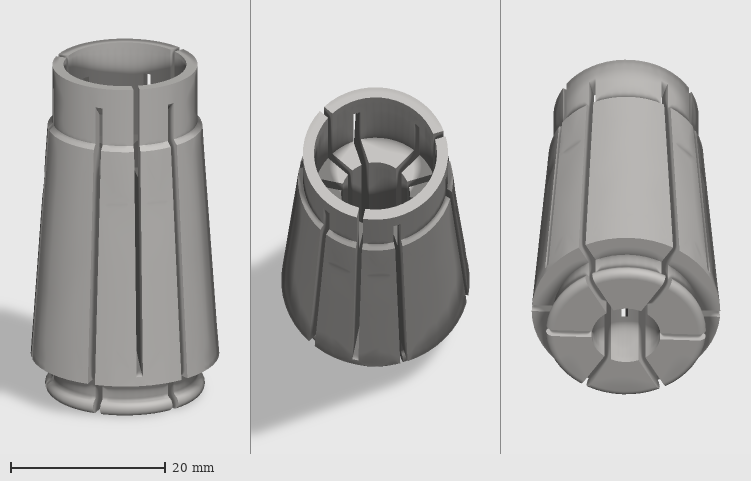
import cadquery as cq
import math

height = 45.1
neck_radius = 9.43
bore_radius = 4.45
counterbore_radius = 8.0
counterbore_depth = 12.7

taper_bottom = 5.0
taper_bottom_radius = 12.245
taper_top = 36.7
taper_top_radius = 10.05
chamfer = taper_top_radius - neck_radius

bead_radius = 0.95
bead_centre_radius = 9.43
blend_radius = 0.5

lower_slot_count = 6
lower_slot_first_angle = 30.0
lower_slot_width = 1.0
lower_slot_top = 42.4

upper_slot_count = 3
upper_slot_first_angle = 60.0
upper_slot_width = 0.8
upper_slot_bottom = 6.22
cutter_radius = 19.4
cutter_centre_radius = 15.35

slot_reach = taper_bottom_radius + 0.45
overshoot = 0.45


def sleeve():
    """Revolve the outer and inner outline of the sleeve around Z."""
    blend_centre_radius = neck_radius + blend_radius
    centre_run = blend_centre_radius - bead_centre_radius
    centre_rise = math.sqrt((bead_radius + blend_radius) ** 2 - centre_run ** 2)
    blend_centre_z = bead_radius + centre_rise
    touch_share = bead_radius / (bead_radius + blend_radius)
    touch = (bead_centre_radius + touch_share * centre_run, bead_radius + touch_share * centre_rise)

    touch_angle = math.atan2(centre_rise, centre_run) + math.pi
    middle_angle = (touch_angle + math.pi) / 2
    blend_middle = (
        blend_centre_radius + blend_radius * math.cos(middle_angle),
        blend_centre_z + blend_radius * math.sin(middle_angle),
    )
    floor_z = height - counterbore_depth
    return (
        cq.Workplane("XZ")
        .moveTo(bore_radius, 0)
        .lineTo(bead_centre_radius, 0)
        .threePointArc((bead_centre_radius + bead_radius, bead_radius), touch)
        .threePointArc(blend_middle, (neck_radius, blend_centre_z))
        .lineTo(neck_radius, taper_bottom)
        .lineTo(taper_bottom_radius, taper_bottom)
        .lineTo(taper_top_radius, taper_top)
        .lineTo(neck_radius, taper_top + chamfer)
        .lineTo(neck_radius, height)
        .lineTo(counterbore_radius, height)
        .lineTo(counterbore_radius, floor_z)
        .lineTo(bore_radius, floor_z)
        .close()
        .revolve(360, (0, 0, 0), (0, 1, 0))
    )


def lower_slot():
    """Tool along +X, from below the bottom face up to the sloped slot end."""
    end_offset = lower_slot_top - neck_radius
    return (
        cq.Workplane("XZ")
        .moveTo(0, -overshoot)
        .lineTo(slot_reach, -overshoot)
        .lineTo(slot_reach, end_offset + slot_reach)
        .lineTo(0, end_offset)
        .close()
        .extrude(lower_slot_width / 2, both=True)
    )


def upper_slot():
    """Tool along +X, from the curved slot floor to above the top face."""
    def cutter_drop(radius):
        return math.sqrt(cutter_radius ** 2 - (cutter_centre_radius - radius) ** 2)

    cutter_centre_z = upper_slot_bottom + cutter_drop(taper_bottom_radius)

    def floor_point(radius):
        return radius, cutter_centre_z - cutter_drop(radius)

    return (
        cq.Workplane("XZ")
        .moveTo(0, height + overshoot)
        .lineTo(*floor_point(0))
        .threePointArc(floor_point(slot_reach / 2), floor_point(slot_reach))
        .lineTo(slot_reach, height + overshoot)
        .close()
        .extrude(upper_slot_width / 2, both=True)
    )


def cut_around(body, tool, count, first_angle):
    """Cut count copies of the tool, evenly spaced around Z."""
    for index in range(count):
        angle = first_angle + index * 360.0 / count
        body = body.cut(tool.rotate((0, 0, 0), (0, 0, 1), angle))
    return body


result = sleeve()
result = cut_around(result, lower_slot(), lower_slot_count, lower_slot_first_angle)
result = cut_around(result, upper_slot(), upper_slot_count, upper_slot_first_angle)